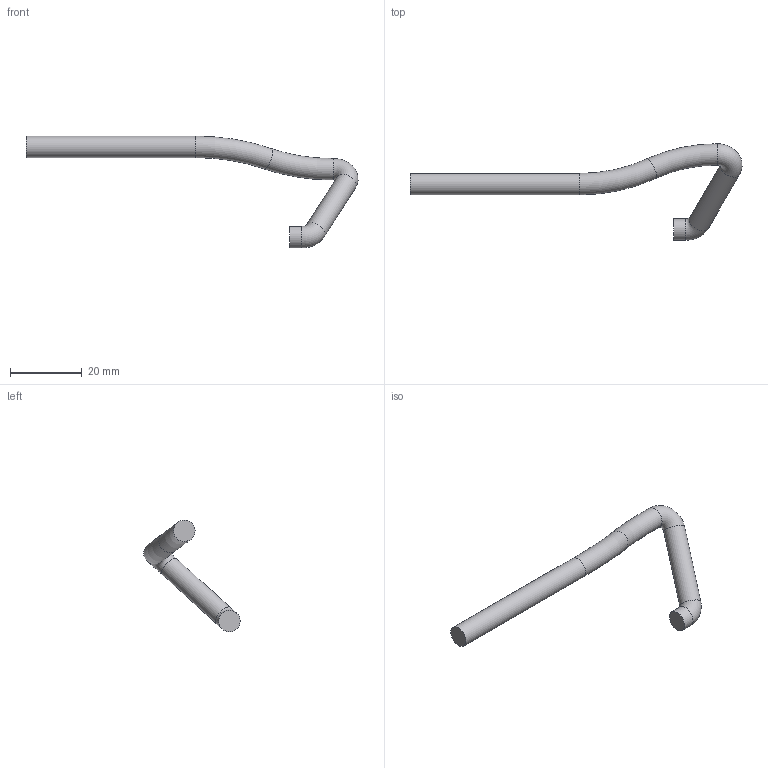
import cadquery as cq
import math

ROD_DIAMETER = 6.0

LONG_LEG = 47.3
S_BEND_ANGLE = 30.2
S_FIRST_RADIUS = 40.0
S_SECOND_RADIUS = 36.7
S_PLANE_ROLL = -37.0

HOOK_RADIUS = 4.0
HOOK_TURN = 113.2
HOOK_CORNER_SPACING = 30.77
HOOK_PLANE_ROLL = -137.8
END_LEG_REACH = 6.0


def rolled_vector(x, offset, roll_degrees):
    """Vector with an X part and a sideways part whose direction is rolled about X from +Y."""
    roll = math.radians(roll_degrees)
    return cq.Vector(x, offset * math.cos(roll), offset * math.sin(roll))


def s_bend_arcs():
    """Two tangent arcs that shift the rod sideways and leave it parallel to X again."""
    full = math.radians(S_BEND_ANGLE)
    half = full / 2
    length = (S_FIRST_RADIUS + S_SECOND_RADIUS) * math.sin(full)
    shift = (S_FIRST_RADIUS + S_SECOND_RADIUS) * (1 - math.cos(full))

    def first_arc_point(angle):
        x = LONG_LEG + S_FIRST_RADIUS * math.sin(angle)
        offset = S_FIRST_RADIUS * (1 - math.cos(angle))
        return rolled_vector(x, offset, S_PLANE_ROLL)

    def second_arc_point(angle):
        x = LONG_LEG + length - S_SECOND_RADIUS * math.sin(angle)
        offset = shift - S_SECOND_RADIUS * (1 - math.cos(angle))
        return rolled_vector(x, offset, S_PLANE_ROLL)

    first_arc = (first_arc_point(0), first_arc_point(half), first_arc_point(full))
    second_arc = (second_arc_point(full), second_arc_point(half), second_arc_point(0))
    return first_arc, second_arc


def corner_arc(before, corner, after, radius):
    """Start, middle and end of the arc that rounds a sharp corner of the centreline."""
    to_before = (before - corner).normalized()
    to_after = (after - corner).normalized()
    half_angle = to_before.getAngle(to_after) / 2
    tangent_length = radius / math.tan(half_angle)
    crown_distance = radius / math.sin(half_angle) - radius
    bisector = (to_before + to_after).normalized()
    start = corner + to_before * tangent_length
    middle = corner + bisector * crown_distance
    end = corner + to_after * tangent_length
    return start, middle, end


def centreline():
    """Wire through the middle of the rod, from the long leg's free end to the tip."""
    rod_start = cq.Vector(0, 0, 0)
    first_arc, second_arc = s_bend_arcs()
    s_end = second_arc[-1]

    turn = math.radians(HOOK_TURN)
    hook_direction = rolled_vector(math.cos(turn), math.sin(turn), HOOK_PLANE_ROLL)
    hook_corner = s_end + cq.Vector(HOOK_RADIUS * math.tan(turn / 2), 0, 0)
    end_corner = hook_corner + hook_direction * HOOK_CORNER_SPACING
    rod_tip = end_corner - cq.Vector(END_LEG_REACH, 0, 0)
    hook_arc = corner_arc(s_end, hook_corner, end_corner, HOOK_RADIUS)
    end_arc = corner_arc(hook_corner, end_corner, rod_tip, HOOK_RADIUS)

    edges = [
        cq.Edge.makeLine(rod_start, first_arc[0]),
        cq.Edge.makeThreePointArc(*first_arc),
        cq.Edge.makeThreePointArc(*second_arc),
        cq.Edge.makeThreePointArc(*hook_arc),
        cq.Edge.makeLine(hook_arc[-1], end_arc[0]),
        cq.Edge.makeThreePointArc(*end_arc),
        cq.Edge.makeLine(end_arc[-1], rod_tip),
    ]
    return cq.Wire.assembleEdges(edges)


result = cq.Workplane("YZ").circle(ROD_DIAMETER / 2).sweep(cq.Workplane(centreline()))